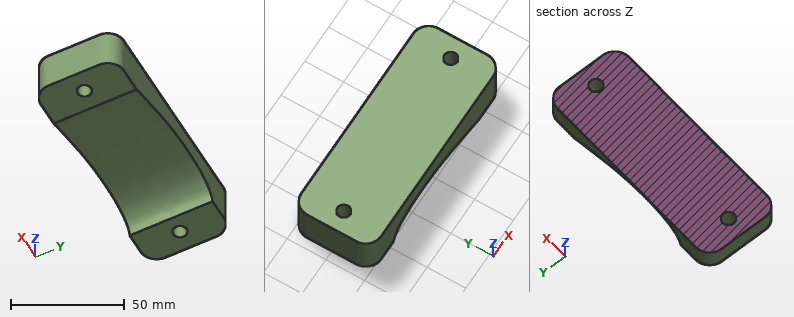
import cadquery as cq

length = 110.0
width = 41.27
height = 21.0
corner_radius = 8.0

hole_diameter = 6.5
hole_spacing = 90.0

nose_x = -36.6
chord = 71.6
crest_offset = 24.5
crest_height = 10.0
tail_lip_length = 2.6
tail_lip_height = 1.0
nose_points = [(1.2, 2.9), (4.0, 5.7), (10.5, 8.5)]
tail_points = [(36.0, 9.2), (50.0, 6.4), (61.0, 3.2)]


def make_block():
    """Plain block with rounded vertical corners, standing on Z = 0."""
    block = cq.Workplane("XY").box(length, width, height, centered=(True, True, False))
    return block.edges("|Z").fillet(corner_radius)


def make_recess():
    """Airfoil upper surface closed by the base plane, running the full width."""
    crest = (crest_offset, crest_height)
    tail_lip = (chord - tail_lip_length, tail_lip_height)
    offsets = [(0.0, 0.0)] + nose_points + [crest] + tail_points + [tail_lip]
    surface_points = [(nose_x + along, up) for along, up in offsets]
    profile = (
        cq.Workplane("XZ")
        .moveTo(*surface_points[0])
        .spline(surface_points[1:], includeCurrent=True)
        .lineTo(nose_x + chord, 0.0)
        .close()
    )
    return profile.extrude(width / 2, both=True)


def make_holes():
    """Two through holes on the long centreline."""
    return (
        cq.Workplane("XY")
        .pushPoints([(-hole_spacing / 2, 0.0), (hole_spacing / 2, 0.0)])
        .circle(hole_diameter / 2)
        .extrude(height)
    )


result = make_block().cut(make_recess()).cut(make_holes())